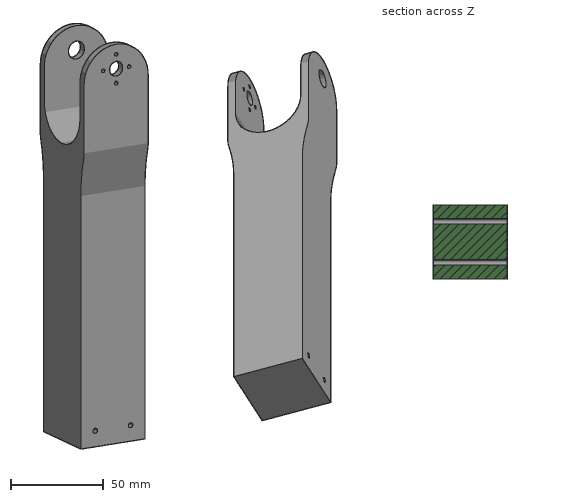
import cadquery as cq
import math

height = 225.0
body_width = 40.0
depth = 40.0
fork_width = 47.0

slot_width = 38.0
slot_bottom = 166.5

flare_start = 141.7
hollow_radius = 80.0
round_radius = 10.0

pivot_height = 211.2
left_pivot_diameter = 10.0
right_pivot_diameter = 8.0
horn_hole_diameter = 2.0
horn_circle_radius = 8.0
horn_hole_count = 4

foot_hole_height = 9.0
foot_hole_spacing = 22.0
foot_hole_diameter = 2.7


def flared_body():
    """Solid with the front outline: straight body widening through tangent arcs."""
    body_x = body_width / 2
    fork_x = fork_width / 2
    radius_sum = hollow_radius + round_radius
    flare_angle = math.acos(1 - (fork_x - body_x) / radius_sum)
    flare_end = flare_start + radius_sum * math.sin(flare_angle)

    def hollow_point(angle):
        x = body_x + hollow_radius * (1 - math.cos(angle))
        return x, flare_start + hollow_radius * math.sin(angle)

    def round_point(angle):
        x = fork_x - round_radius * (1 - math.cos(angle))
        return x, flare_end - round_radius * math.sin(angle)

    half_outline = (
        cq.Workplane("XZ")
        .lineTo(body_x, 0)
        .lineTo(body_x, flare_start)
        .threePointArc(hollow_point(flare_angle / 2), hollow_point(flare_angle))
        .threePointArc(round_point(flare_angle / 2), (fork_x, flare_end))
        .lineTo(fork_x, height)
        .lineTo(0, height)
        .close()
    )
    half = half_outline.extrude(depth / 2, both=True)
    return half.union(half.mirror("YZ"))


def rounded_envelope():
    """Side outline with a half-round top, extruded across the fork."""
    half_depth = depth / 2
    shoulder = height - half_depth
    return (
        cq.Workplane("YZ")
        .moveTo(-half_depth, 0)
        .lineTo(half_depth, 0)
        .lineTo(half_depth, shoulder)
        .threePointArc((0, height), (-half_depth, shoulder))
        .close()
        .extrude(fork_width / 2, both=True)
    )


def fork_slot():
    """Slot open at the top with a half-round floor."""
    radius = slot_width / 2
    floor_start = slot_bottom + radius
    return (
        cq.Workplane("XZ")
        .moveTo(-radius, height)
        .lineTo(-radius, floor_start)
        .threePointArc((0, slot_bottom), (radius, floor_start))
        .lineTo(radius, height)
        .close()
        .extrude(depth / 2, both=True)
    )


def cross_holes(points, diameter, start_x, end_x):
    """Cylinders along X at the given (Y, Z) points."""
    plane = cq.Workplane("YZ", origin=(start_x, 0, 0))
    return plane.pushPoints(points).circle(diameter / 2).extrude(end_x - start_x)


right_face = fork_width / 2
left_face = -right_face
pivot = (0, pivot_height)

horn_points = []
for index in range(horn_hole_count):
    angle = 2 * math.pi * index / horn_hole_count
    horn_y = horn_circle_radius * math.cos(angle)
    horn_z = pivot_height + horn_circle_radius * math.sin(angle)
    horn_points.append((horn_y, horn_z))

foot_points = [(side * foot_hole_spacing / 2, foot_hole_height) for side in (-1, 1)]

result = (
    flared_body()
    .intersect(rounded_envelope())
    .cut(fork_slot())
    .cut(cross_holes([pivot], left_pivot_diameter, left_face, 0))
    .cut(cross_holes([pivot], right_pivot_diameter, 0, right_face))
    .cut(cross_holes(horn_points, horn_hole_diameter, 0, right_face))
    .cut(cross_holes(foot_points, foot_hole_diameter, left_face, right_face))
)